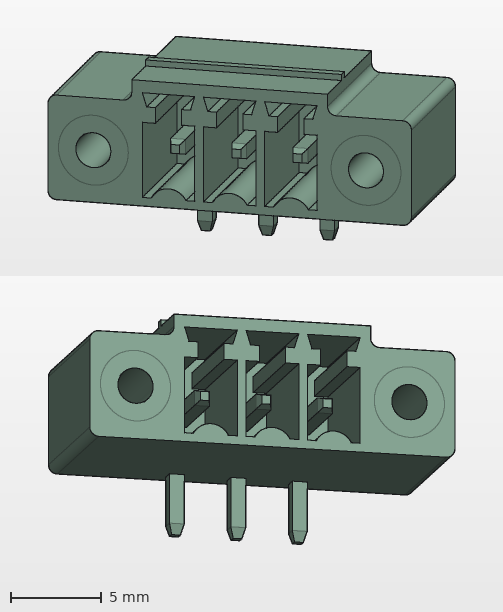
import cadquery as cq


body_width = 20.8
body_depth = 9.2
flange_height = 6.0
raised_width = 11.2
raised_height = 7.2
corner_radius = 0.5

ridge_top = 7.55
ridge_front = 2.9
ridge_depth = 0.6

contact_count = 3
pitch = 3.5
back_wall = 2.0
cavity_depth = body_depth - back_wall
cavity_half_width = 1.5
cavity_floor = 0.5
shoulder_height = 4.8
neck_half_width = 0.75
neck_top = 5.7
dovetail_half_width = 1.25
cavity_roof = 6.5
hump_half_width = 1.0
hump_rise = 0.6

pin_width = 0.85
pin_tip_width = 0.5
pin_taper_length = 0.6
pin_axis_height = flange_height / 2
pin_front = 1.4
pin_leg_y = 8.0
pin_bottom = -3.4

bushing_x = 7.8
bushing_height = flange_height / 2
bushing_diameter = 4.0
screw_hole_diameter = 2.0
bushing_depth = cavity_depth


def front_plane(x=0.0, z=0.0):
    """Sketch plane on the mating face whose normal points into the part."""
    return cq.Plane(origin=(x, 0, z), xDir=(1, 0, 0), normal=(0, -1, 0))


def extrude_back(sketch, depth):
    """Extrude a front-plane sketch toward +Y."""
    return sketch.extrude(-depth)


def make_housing():
    half_raised = raised_width / 2
    half_body = body_width / 2
    outline = (
        cq.Workplane(front_plane())
        .moveTo(-half_body, 0)
        .lineTo(half_body, 0)
        .lineTo(half_body, flange_height)
        .lineTo(half_raised, flange_height)
        .lineTo(half_raised, raised_height)
        .lineTo(-half_raised, raised_height)
        .lineTo(-half_raised, flange_height)
        .lineTo(-half_body, flange_height)
        .close()
    )
    housing = extrude_back(outline, body_depth)
    housing = housing.edges("|Y and (<X or >X)").fillet(corner_radius)
    for side in (-1, 1):
        inner_corner = cq.selectors.NearestToPointSelector(
            (side * half_raised, body_depth / 2, flange_height)
        )
        housing = housing.edges(inner_corner).fillet(corner_radius)
    return housing


def make_ridge():
    ridge_height = ridge_top - raised_height
    ridge = cq.Workplane("XY").box(raised_width, ridge_depth, ridge_height, centered=(True, False, False))
    return ridge.translate((0, ridge_front, raised_height))


def make_cavity(x):
    """Keyed socket with a dovetail at the roof and a rounded hump on the floor."""
    outline = (
        cq.Workplane(front_plane(x))
        .moveTo(-cavity_half_width, cavity_floor)
        .lineTo(-hump_half_width, cavity_floor)
        .threePointArc((0, cavity_floor + hump_rise), (hump_half_width, cavity_floor))
        .lineTo(cavity_half_width, cavity_floor)
        .lineTo(cavity_half_width, shoulder_height)
        .lineTo(neck_half_width, shoulder_height)
        .lineTo(neck_half_width, neck_top)
        .lineTo(dovetail_half_width, neck_top)
        .lineTo(cavity_half_width, cavity_roof)
        .lineTo(-cavity_half_width, cavity_roof)
        .lineTo(-dovetail_half_width, neck_top)
        .lineTo(-neck_half_width, neck_top)
        .lineTo(-neck_half_width, shoulder_height)
        .lineTo(-cavity_half_width, shoulder_height)
        .close()
    )
    return extrude_back(outline, cavity_depth)


def make_tapered_bar(tip, direction, length):
    """Square bar that starts at a narrowed tip and runs along direction."""
    plane = cq.Plane(origin=tip, xDir=(1, 0, 0), normal=direction)
    taper = (
        cq.Workplane(plane)
        .rect(pin_tip_width, pin_tip_width)
        .workplane(offset=pin_taper_length)
        .rect(pin_width, pin_width)
        .loft(ruled=True)
    )
    shank = (
        cq.Workplane(plane)
        .workplane(offset=pin_taper_length)
        .rect(pin_width, pin_width)
        .extrude(length - pin_taper_length)
    )
    return taper.union(shank)


def make_pin(x):
    """Right-angle pin: a contact inside the cavity and a leg below the body."""
    contact_length = pin_leg_y + pin_width / 2 - pin_front
    leg_length = pin_axis_height + pin_width / 2 - pin_bottom
    contact = make_tapered_bar((x, pin_front, pin_axis_height), (0, 1, 0), contact_length)
    leg = make_tapered_bar((x, pin_leg_y, pin_bottom), (0, 0, 1), leg_length)
    return contact.union(leg)


def make_front_cylinder(x, diameter):
    """Cylinder at bushing height that runs back from the mating face."""
    sketch = cq.Workplane(front_plane(x, bushing_height)).circle(diameter / 2)
    return extrude_back(sketch, bushing_depth)


result = make_housing().union(make_ridge())

for index in range(contact_count):
    contact_x = (index - (contact_count - 1) / 2) * pitch
    result = result.cut(make_cavity(contact_x)).union(make_pin(contact_x))

for bushing_center in (-bushing_x, bushing_x):
    seat = make_front_cylinder(bushing_center, bushing_diameter)
    screw_hole = make_front_cylinder(bushing_center, screw_hole_diameter)
    bushing = seat.cut(screw_hole)
    result = result.cut(seat, clean=False).union(bushing, clean=False)